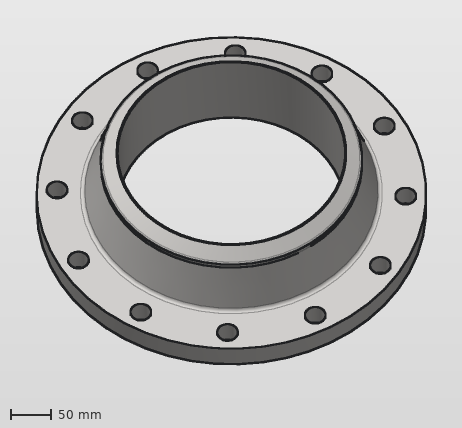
import cadquery as cq
import math

flange_diameter = 482.5
flange_thickness = 32.5
bore_diameter = 282.0
total_height = 114.5

hub_base_radius = 183.0
root_fillet_radius = 6.0

neck_radius = 162.0
neck_length = 6.5
weld_end_height = 14.0
land_width = 1.5

ledge_width = 1.5
ledge_rise = 0.5
step_width = 1.5
step_rise = 1.0

bolt_count = 12
bolt_circle_diameter = 432.0
bolt_hole_diameter = 25.5

flange_radius = flange_diameter / 2
bore_radius = bore_diameter / 2
land_radius = bore_radius + land_width
neck_top = total_height - weld_end_height
neck_bottom = neck_top - neck_length
ledge_inner_radius = neck_radius - ledge_width
ledge_top = neck_top + ledge_rise
bevel_foot_radius = ledge_inner_radius - step_width
bevel_foot = ledge_top + step_rise

taper_angle = math.atan2(hub_base_radius - neck_radius, neck_bottom - flange_thickness)
tangent_length = root_fillet_radius * math.tan((math.pi / 2 - taper_angle) / 2)
root_outer_radius = hub_base_radius + tangent_length
root_inner_radius = hub_base_radius - tangent_length * math.sin(taper_angle)
root_top = flange_thickness + tangent_length * math.cos(taper_angle)


def make_flange_body():
    """Revolve the half section of the flange, hub and weld end about Z."""
    section = (
        cq.Workplane("XZ")
        .moveTo(bore_radius, 0)
        .lineTo(flange_radius, 0)
        .lineTo(flange_radius, flange_thickness)
        .lineTo(root_outer_radius, flange_thickness)
        .tangentArcPoint((root_inner_radius, root_top), relative=False)
        .lineTo(neck_radius, neck_bottom)
        .lineTo(neck_radius, neck_top)
        .lineTo(ledge_inner_radius, ledge_top)
        .lineTo(bevel_foot_radius, bevel_foot)
        .lineTo(land_radius, total_height)
        .lineTo(bore_radius, total_height)
        .close()
    )
    return section.revolve(360, (0, 0, 0), (0, 1, 0))


def make_bolt_holes():
    """Cylinders on the bolt circle, the first on the X axis, as deep as the flange."""
    return (
        cq.Workplane("XY")
        .polarArray(bolt_circle_diameter / 2, 0, 360, bolt_count)
        .circle(bolt_hole_diameter / 2)
        .extrude(flange_thickness)
    )


result = make_flange_body().cut(make_bolt_holes())